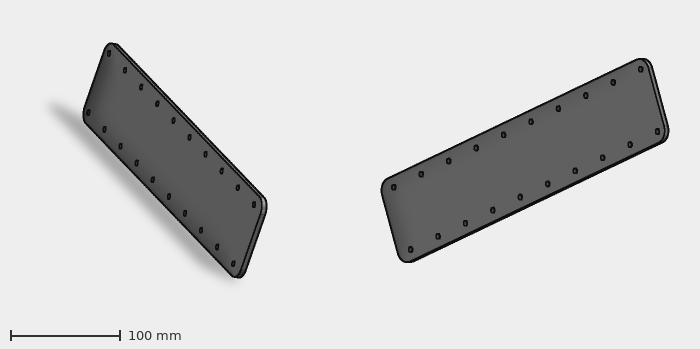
import cadquery as cq

length = 365.0
height = 80.0
thickness = 5.0
corner_radius = 12.0
lean_angle = 20.0

holes_per_row = 10
hole_pitch = 37.5
row_spacing = 60.0
hole_diameter = 4.7
first_hole_inset = 10.0


def upright_plate():
    """Plate standing in the XZ plane, centred on the origin."""
    blank = cq.Workplane("XY").box(length, thickness, height)
    return blank.edges("|Y").fillet(corner_radius)


def drill_rows(plate):
    """Drill both rows of holes through the thickness."""
    row_length = (holes_per_row - 1) * hole_pitch
    row_center_x = first_hole_inset + row_length / 2 - length / 2
    return (
        plate.faces("<Y")
        .workplane(centerOption="CenterOfBoundBox")
        .center(row_center_x, 0)
        .rarray(hole_pitch, row_spacing, holes_per_row, 2)
        .hole(hole_diameter)
    )


result = drill_rows(upright_plate()).rotate((0, 0, 0), (1, 0, 0), -lean_angle)